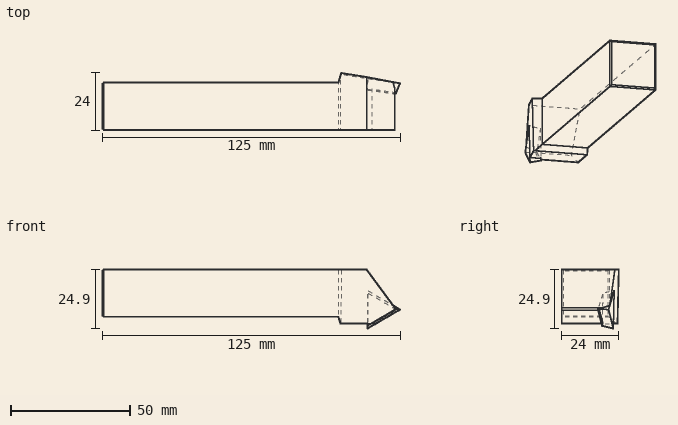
import cadquery as cq
import math

LENGTH = 125.0
SHANK = 20.0
END_CHAMFER = 0.6

HEAD_START = 99.0
STEP_RUN_SIDE = 1.2
STEP_RUN_BOTTOM = 0.9
HEAD_DROP = 2.8
HEAD_WIDTH = 24.0
SLOPE_START = 110.9
NOSE_X = 122.8
NOSE_TOP = 3.9
NOSE_BOTTOM = 2.9
HEAD_BOTTOM_END = 113.1

TIP_Z = 3.1
INSERT_SIDE = 16.0
INSERT_THICKNESS = 4.8
CLEARANCE_ANGLE = 7.0

FALL_PER_X = 0.158
FALL_PER_Z = 0.025


def rake_y(x, z):
    """Y of the rake face at a given X and Z."""
    widest_x = HEAD_START + STEP_RUN_SIDE
    return HEAD_WIDTH - FALL_PER_X * (x - widest_x) - FALL_PER_Z * (SHANK - z)


def rake_plane():
    """Plane of the rake face, with its origin at the cutting tip."""
    return cq.Plane(
        origin=(LENGTH, rake_y(LENGTH, TIP_Z), TIP_Z),
        xDir=(1, -FALL_PER_X, 0),
        normal=(FALL_PER_X, 1, -FALL_PER_Z),
    )


def make_insert():
    """Triangular insert whose sides taper inward behind the cutting face."""
    triangle_height = INSERT_SIDE * math.sqrt(3) / 2
    return (
        cq.Workplane(rake_plane())
        .polyline([
            (0, 0),
            (-triangle_height, INSERT_SIDE / 2),
            (-triangle_height, -INSERT_SIDE / 2),
        ])
        .close()
        .extrude(-INSERT_THICKNESS, taper=CLEARANCE_ANGLE)
    )


def make_shank():
    """Square bar with a chamfered rear end."""
    return (
        cq.Workplane("XY")
        .box(HEAD_START, SHANK, SHANK, centered=False)
        .faces("<X")
        .chamfer(END_CHAMFER)
    )


def make_head():
    """Head profile, trimmed by the side step and the rake face."""
    profile = (
        cq.Workplane("XZ")
        .polyline([
            (HEAD_START, 0),
            (HEAD_START, SHANK),
            (SLOPE_START, SHANK),
            (NOSE_X, NOSE_TOP),
            (NOSE_X, NOSE_BOTTOM),
            (HEAD_BOTTOM_END, -HEAD_DROP),
            (HEAD_START + STEP_RUN_BOTTOM, -HEAD_DROP),
        ])
        .close()
        .extrude(-HEAD_WIDTH)
    )
    side_step = (
        cq.Workplane("XY")
        .workplane(offset=-HEAD_DROP)
        .polyline([
            (HEAD_START, 0),
            (HEAD_START, SHANK),
            (HEAD_START + STEP_RUN_SIDE, HEAD_WIDTH),
            (LENGTH, HEAD_WIDTH),
            (LENGTH, 0),
        ])
        .close()
        .extrude(SHANK + HEAD_DROP)
    )
    beyond_rake = cq.Workplane(rake_plane()).rect(2 * LENGTH, 2 * LENGTH).extrude(SHANK)
    return profile.intersect(side_step).cut(beyond_rake)


insert = make_insert()
holder = make_shank().union(make_head()).cut(insert)

result = cq.Compound.makeCompound([holder.solids().val(), insert.val()])